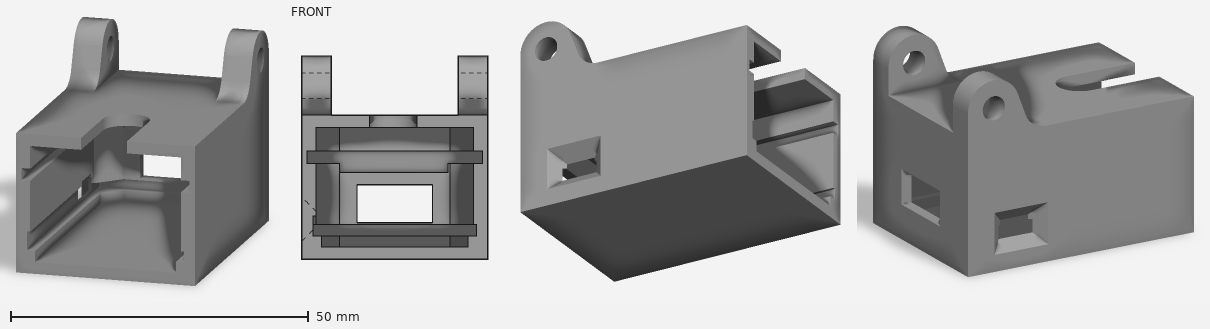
import cadquery as cq
import math

WIDTH = 31.3
LENGTH = 44.0
TOTAL_HEIGHT = 34.2
BODY_HEIGHT = 24.25

CAVITY_WIDTH = 26.35
FLOOR_CAVITY_WIDTH = 24.65
CAVITY_TOP = 22.18
FLOOR_THICKNESS = 2.05
BACK_WALL = 2.0
BACK_WIDTH = 18.5
TAPER_LENGTH = (CAVITY_WIDTH - BACK_WIDTH) / 2

SLOT_END_WALL = 1.0
LOWER_SLOT_WIDTH = 27.5
LOWER_SLOT_BOTTOM = 3.95
LOWER_SLOT_TOP = 5.85
UPPER_SLOT_WIDTH = 29.45
UPPER_SLOT_BOTTOM = 16.1
UPPER_SLOT_TOP = 18.2
SIDE_RELIEF_TOP = 7.25
CONNECTOR_LEFT = -BACK_WIDTH / 2
CONNECTOR_RIGHT = 8.95
CONNECTOR_BOTTOM = 14.6

WINDOW_WIDTH = 12.65
WINDOW_BOTTOM = 6.2
WINDOW_TOP = 12.55

ROOF_SLOT_WIDTH = 8.0
ROOF_SLOT_LENGTH = 17.2
ROOF_SLOT_X = -0.25

FLARE_FRONT = 28.42
FLARE_BACK = 38.8
FLARE_BOTTOM = 3.05
FLARE_TOP = 10.5
FLARE_DEPTH = 2.65

LUG_THICKNESS = 5.0
LUG_RADIUS = 5.0
LUG_HOLE_DIAMETER = 4.3
LUG_FILLET_RADIUS = 4.0
LUG_LENGTH = 15.0


def box(x_min, x_max, y_min, y_max, z_min, z_max):
    size = (x_max - x_min, y_max - y_min, z_max - z_min)
    return cq.Workplane("XY").box(*size, centered=False).translate((x_min, y_min, z_min))


def centred_box(width, y_min, y_max, z_min, z_max):
    return box(-width / 2, width / 2, y_min, y_max, z_min, z_max)


def cavity_layer(width, z_min, z_max):
    """Layer of the cavity whose side walls close in at 45 degrees near the back."""
    back = LENGTH - BACK_WALL
    taper_start = back - (width - BACK_WIDTH) / 2
    return (
        cq.Workplane("XY", origin=(0, 0, z_min))
        .moveTo(-width / 2, 0)
        .lineTo(width / 2, 0)
        .lineTo(width / 2, taper_start)
        .lineTo(BACK_WIDTH / 2, back)
        .lineTo(-BACK_WIDTH / 2, back)
        .lineTo(-width / 2, taper_start)
        .close()
        .extrude(z_max - z_min)
    )


def lug(x_min):
    """Rounded lug blended into the roof by a sloping flank and a concave fillet."""
    hole_y = LENGTH - LUG_RADIUS
    hole_z = TOTAL_HEIGHT - LUG_RADIUS
    fillet_y = LENGTH - LUG_LENGTH
    fillet_z = BODY_HEIGHT + LUG_FILLET_RADIUS

    run = hole_y - fillet_y
    rise = fillet_z - hole_z
    tangent_offset = math.acos((LUG_RADIUS + LUG_FILLET_RADIUS) / math.hypot(run, rise))
    flank_angle = math.atan2(rise, run) + tangent_offset

    def lug_point(angle):
        return (hole_y - LUG_RADIUS * math.cos(angle), hole_z + LUG_RADIUS * math.sin(angle))

    def fillet_point(angle):
        return (
            fillet_y + LUG_FILLET_RADIUS * math.cos(angle),
            fillet_z - LUG_FILLET_RADIUS * math.sin(angle),
        )

    outline = (
        cq.Workplane("YZ", origin=(x_min, 0, 0))
        .moveTo(LENGTH, CAVITY_TOP)
        .lineTo(LENGTH, hole_z)
        .threePointArc(lug_point(math.pi / 2), lug_point(flank_angle))
        .lineTo(*fillet_point(flank_angle))
        .threePointArc(fillet_point((flank_angle + math.pi / 2) / 2), (fillet_y, BODY_HEIGHT))
        .lineTo(fillet_y, CAVITY_TOP)
        .close()
        .extrude(LUG_THICKNESS)
    )
    hole = (
        cq.Workplane("YZ", origin=(x_min, 0, 0))
        .center(hole_y, hole_z)
        .circle(LUG_HOLE_DIAMETER / 2)
        .extrude(LUG_THICKNESS)
    )
    return outline.cut(hole)


def roof_slot():
    radius = ROOF_SLOT_WIDTH / 2
    straight_end = ROOF_SLOT_LENGTH - radius
    return (
        cq.Workplane("XY", origin=(ROOF_SLOT_X, 0, CAVITY_TOP))
        .moveTo(-radius, 0)
        .lineTo(radius, 0)
        .lineTo(radius, straight_end)
        .threePointArc((0, ROOF_SLOT_LENGTH), (-radius, straight_end))
        .close()
        .extrude(BODY_HEIGHT - CAVITY_TOP)
    )


def flared_opening():
    centre_y = (FLARE_FRONT + FLARE_BACK) / 2
    centre_z = (FLARE_BOTTOM + FLARE_TOP) / 2
    return (
        cq.Workplane("YZ", origin=(-WIDTH / 2, centre_y, centre_z))
        .rect(FLARE_BACK - FLARE_FRONT, FLARE_TOP - FLARE_BOTTOM)
        .extrude(FLARE_DEPTH, taper=45)
    )


result = centred_box(WIDTH, 0, LENGTH, 0, BODY_HEIGHT)
for lug_x in (-WIDTH / 2, WIDTH / 2 - LUG_THICKNESS):
    result = result.union(lug(lug_x))

result = result.cut(cavity_layer(FLOOR_CAVITY_WIDTH, FLOOR_THICKNESS, LOWER_SLOT_TOP))
result = result.cut(cavity_layer(CAVITY_WIDTH, LOWER_SLOT_TOP, CAVITY_TOP))

slot_end = LENGTH - SLOT_END_WALL
result = result.cut(centred_box(LOWER_SLOT_WIDTH, 0, slot_end, LOWER_SLOT_BOTTOM, LOWER_SLOT_TOP))
result = result.cut(centred_box(UPPER_SLOT_WIDTH, 0, slot_end, UPPER_SLOT_BOTTOM, UPPER_SLOT_TOP))
result = result.cut(
    box(CONNECTOR_LEFT, CONNECTOR_RIGHT, LENGTH - BACK_WALL, slot_end, CONNECTOR_BOTTOM, UPPER_SLOT_BOTTOM)
)

relief_end = LENGTH - BACK_WALL - TAPER_LENGTH
result = result.cut(
    box(-LOWER_SLOT_WIDTH / 2, -CAVITY_WIDTH / 2, 0, relief_end, LOWER_SLOT_TOP, SIDE_RELIEF_TOP)
)

result = result.cut(centred_box(WINDOW_WIDTH, LENGTH - BACK_WALL, LENGTH, WINDOW_BOTTOM, WINDOW_TOP))
result = result.cut(roof_slot())
result = result.cut(flared_opening())